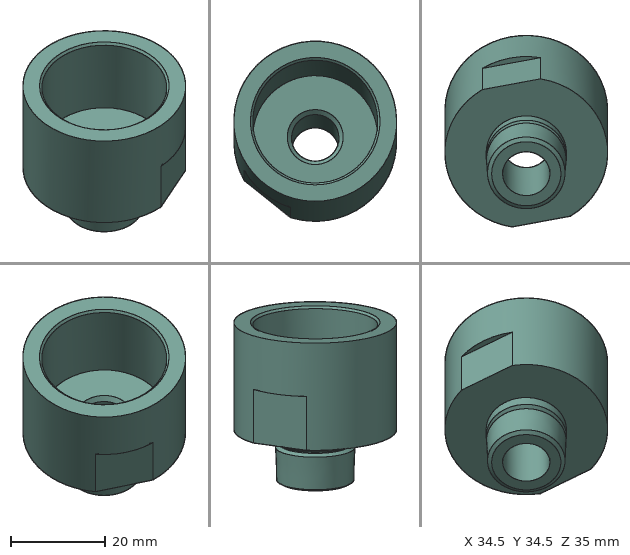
import cadquery as cq
import math

total_height = 35.0
body_radius = 17.25
stem_length = 11.5

body_height = total_height - stem_length
flat_height = body_height / 2
flat_distance = 16.05

stem_radius = 8.5
taper_top_radius = 8.45
collar_length = 2.4
groove_depth = 1.05
groove_floor_width = 0.25
cone_angle = math.radians(30)
taper_ratio = 1 / 16
tip_chamfer_width = 0.88

socket_radius = 13.23
socket_depth = 18.5
socket_chamfer = 0.5
bore_radius = 5.0
bore_chamfer = 0.9


def make_body():
    """Cylinder with two opposite flats, standing on the stem shoulder."""
    body = cq.Workplane("XY").workplane(offset=stem_length).circle(body_radius).extrude(body_height)
    cutter_depth = body_radius
    for side in (-1, 1):
        cutter = (
            cq.Workplane("XY")
            .box(cutter_depth, 2 * body_radius, flat_height, centered=(True, True, False))
            .translate((side * (flat_distance + cutter_depth / 2), 0, stem_length))
        )
        body = body.cut(cutter)
    return body


def make_stem():
    """Revolved stem profile, from the tip at Z = 0 up to the shoulder."""
    groove_radius = stem_radius - groove_depth
    upper_flank_height = groove_depth * math.tan(cone_angle)
    lower_flank_height = (taper_top_radius - groove_radius) * math.tan(cone_angle)
    groove_top = stem_length - collar_length
    floor_top = groove_top - upper_flank_height
    floor_bottom = floor_top - groove_floor_width
    taper_top = floor_bottom - lower_flank_height
    taper_bottom = tip_chamfer_width * math.tan(cone_angle)
    taper_end_radius = taper_top_radius - (taper_top - taper_bottom) * taper_ratio / 2
    profile = [
        (0, 0),
        (taper_end_radius - tip_chamfer_width, 0),
        (taper_end_radius, taper_bottom),
        (taper_top_radius, taper_top),
        (groove_radius, floor_bottom),
        (groove_radius, floor_top),
        (stem_radius, groove_top),
        (stem_radius, stem_length),
        (0, stem_length),
    ]
    return cq.Workplane("XZ").polyline(profile).close().revolve(360, (0, 0), (0, 1))


def make_cavity():
    """Revolved void: through bore and socket, both chamfered at their upper rims."""
    socket_floor = total_height - socket_depth
    profile = [
        (0, 0),
        (bore_radius, 0),
        (bore_radius, socket_floor - bore_chamfer),
        (bore_radius + bore_chamfer, socket_floor),
        (socket_radius, socket_floor),
        (socket_radius, total_height - socket_chamfer),
        (socket_radius + socket_chamfer, total_height),
        (0, total_height),
    ]
    return cq.Workplane("XZ").polyline(profile).close().revolve(360, (0, 0), (0, 1))


result = make_body().union(make_stem()).cut(make_cavity())